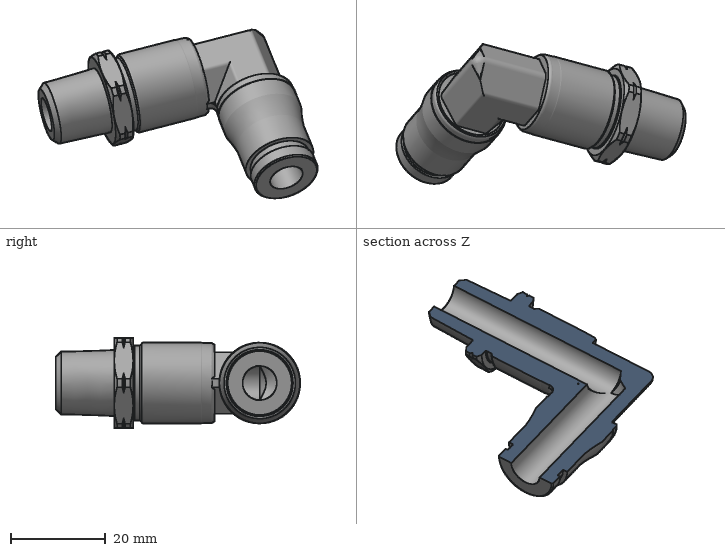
import cadquery as cq
import math


arm_half_height = 6.5
outer_ridge = 7.22
inner_ridge = 8.4
inner_land_half_height = 0.9
flat_half_width = 3.5
outer_ridge_fillet = 1.7
flat_edge_fillet = 0.9
arm_overlap = 1.5
corner_inset = 4.88

branch_start = 9.45
branch_face_radius = 8.07
branch_recess_radius = 7.6
branch_recess_depth = 0.1
branch_round_end = 10.4
branch_lip_radius = 8.43
branch_lip_end = 11.3
body_radius = 8.55
branch_body_end = 15.5
branch_waist_start = 20.5
branch_waist_radius = 7.52
branch_flare_mid_radius = 7.92
release_groove_start = 26.85
release_groove_radius = 6.48
release_ring_start = 28.7
release_ring_radius = 7.03
branch_end = 31.5
release_ring_chamfer = 0.3

sleeve_start = 9.52
sleeve_face_radius = 8.1
sleeve_chamfer_end = 9.9
sleeve_chamfer_radius = 8.33
sleeve_round_end = 10.4
sleeve_lip_radius = 8.45
sleeve_lip_end = 12.2
sleeve_lip_end_radius = 8.5
sleeve_body_start = 12.4
sleeve_body_end = 24.35
sleeve_round_out = 24.9
sleeve_round_out_radius = 8.25
neck_start = 25.25
neck_radius = 7.92
neck_end = 26.35
neck_flare = 0.1
nut_start = 26.65
nut_end = 30.7
thread_radius = 7.0
thread_taper = 1 / 32
stem_end = 43.0
stem_chamfer_length = 1.15
stem_face_radius = 5.55

nut_across_flats = 19.0
nut_corner_radius = 10.5
nut_bevel_face_radius = 9.43
nut_groove_radius = 9.98
nut_sides = 6
nut_turn = 180 / nut_sides
nut_cone_angle = 30
nut_cone_slope = math.tan(math.radians(nut_cone_angle))

bore_radius = 3.6
drill_point_angle = 118.0
drill_point_length = bore_radius / math.tan(math.radians(drill_point_angle / 2))

inner_web_radius = 1.4
inner_web_overlap = 1.0


def turned(outline):
    """Revolve an outline drawn as (station, radius) about X."""
    return outline.close().revolve(360, (0, 0, 0), (1, 0, 0))


def along_stem(body):
    """Turn a body built along +X so that it lies along -Y."""
    return body.rotate((0, 0, 0), (1, -1, 0), 180)


def round_point(face_end, cylinder_end):
    """Middle of a convex rounding that runs tangent into a cylinder at cylinder_end."""
    bulge = math.sqrt(0.5)
    station = cylinder_end[0] + (face_end[0] - cylinder_end[0]) * bulge
    radius = face_end[1] + (cylinder_end[1] - face_end[1]) * bulge
    return (station, radius)


def make_arm():
    """One mitred elbow arm along +X, with its outer corner left open."""
    length = branch_start + arm_overlap
    arm = (
        cq.Workplane("YZ", origin=(-outer_ridge, 0, 0))
        .polyline([
            (outer_ridge, 0),
            (flat_half_width, arm_half_height),
            (-flat_half_width, arm_half_height),
            (-inner_ridge, inner_land_half_height),
            (-inner_ridge, -inner_land_half_height),
            (-flat_half_width, -arm_half_height),
            (flat_half_width, -arm_half_height),
        ])
        .close()
        .extrude(outer_ridge + length)
    )
    arm = arm.edges("|X and >Y").fillet(outer_ridge_fillet)
    for height in (arm_half_height, -arm_half_height):
        for side in (flat_half_width, -flat_half_width):
            corner = cq.selectors.NearestToPointSelector((0, side, height))
            arm = arm.edges(corner).fillet(flat_edge_fillet)
    return arm


def make_elbow():
    reach = 2 * branch_start
    mitre_side = (
        cq.Workplane("XY")
        .polyline([(-reach, reach), (reach, -reach), (reach, reach)])
        .close()
        .extrude(arm_half_height, both=True)
    )
    arm = make_arm()
    corner = (
        cq.Workplane("XY")
        .rect(reach, reach)
        .extrude(arm_half_height, both=True)
        .translate((-corner_inset - reach / 2, corner_inset + reach / 2, 0))
    )
    half = arm.intersect(mitre_side).cut(corner)
    return half.union(along_stem(half)).union(make_round_corner())


def make_round_corner():
    """Double cone that carries the rounded outer ridge around the bend."""
    ridge = outer_ridge - corner_inset
    slope = arm_half_height / (outer_ridge - flat_half_width)
    apex = ridge * slope
    cone = (
        cq.Workplane("XZ")
        .polyline([(0, -apex), (ridge, 0), (0, apex)])
        .close()
        .revolve(360, (0, 0, 0), (0, 1, 0))
        .edges(cq.selectors.RadiusNthSelector(-1))
        .fillet(outer_ridge_fillet)
    )
    return cone.translate((-corner_inset, corner_inset, 0))


def make_inner_web():
    """Small concave web in the crook of the bend, between the collar and the sleeve."""
    far = inner_ridge + inner_web_radius
    start = inner_ridge - inner_web_overlap
    return (
        cq.Workplane("XY")
        .moveTo(start, -start)
        .lineTo(far, -start)
        .lineTo(far, -inner_ridge)
        .radiusArc((inner_ridge, -far), -inner_web_radius)
        .lineTo(start, -far)
        .close()
        .extrude(inner_land_half_height, both=True)
    )


def make_branch():
    face_corner = (branch_start, branch_face_radius)
    lip_corner = (branch_round_end, branch_lip_radius)
    recess_floor = branch_start + branch_recess_depth
    return turned(
        cq.Workplane("XY")
        .moveTo(recess_floor, 0)
        .lineTo(recess_floor, branch_recess_radius)
        .lineTo(branch_start, branch_recess_radius)
        .lineTo(*face_corner)
        .threePointArc(round_point(face_corner, lip_corner), lip_corner)
        .lineTo(branch_lip_end, branch_lip_radius)
        .lineTo(branch_lip_end, body_radius)
        .lineTo(branch_body_end, body_radius)
        .threePointArc(
            ((branch_body_end + branch_waist_start) / 2, branch_flare_mid_radius),
            (branch_waist_start, branch_waist_radius),
        )
        .lineTo(release_groove_start, branch_waist_radius)
        .lineTo(release_groove_start, release_groove_radius)
        .lineTo(release_ring_start, release_groove_radius)
        .lineTo(release_ring_start, release_ring_radius)
        .lineTo(branch_end - release_ring_chamfer, release_ring_radius)
        .lineTo(branch_end, release_ring_radius - release_ring_chamfer)
        .lineTo(branch_end, 0)
    )


def make_sleeve():
    chamfer_corner = (sleeve_chamfer_end, sleeve_chamfer_radius)
    lip_corner = (sleeve_round_end, sleeve_lip_radius)
    body_corner = (sleeve_body_end, body_radius)
    round_out = (sleeve_round_out, sleeve_round_out_radius)
    return turned(
        cq.Workplane("XY")
        .moveTo(sleeve_start, 0)
        .lineTo(sleeve_start, sleeve_face_radius)
        .lineTo(*chamfer_corner)
        .threePointArc(round_point(chamfer_corner, lip_corner), lip_corner)
        .lineTo(sleeve_lip_end, sleeve_lip_end_radius)
        .lineTo(sleeve_body_start, body_radius)
        .lineTo(*body_corner)
        .threePointArc(round_point(round_out, body_corner), round_out)
        .lineTo(neck_start, neck_radius)
        .lineTo(neck_end, neck_radius)
        .lineTo(nut_start, neck_radius + neck_flare)
        .lineTo(nut_start, 0)
    )


def make_nut():
    middle = (nut_start + nut_end) / 2
    bevel_length = (nut_corner_radius - nut_bevel_face_radius) * nut_cone_slope
    groove_half_width = (nut_corner_radius - nut_groove_radius) * nut_cone_slope
    blank = turned(
        cq.Workplane("XY")
        .moveTo(nut_start, 0)
        .lineTo(nut_start, nut_bevel_face_radius)
        .lineTo(nut_start + bevel_length, nut_corner_radius)
        .lineTo(middle - groove_half_width, nut_corner_radius)
        .lineTo(middle, nut_groove_radius)
        .lineTo(middle + groove_half_width, nut_corner_radius)
        .lineTo(nut_end - bevel_length, nut_corner_radius)
        .lineTo(nut_end, nut_bevel_face_radius)
        .lineTo(nut_end, 0)
    )
    hexagon = (
        cq.Workplane("YZ", origin=(nut_start, 0, 0))
        .polygon(nut_sides, nut_across_flats, circumscribed=True)
        .extrude(nut_end - nut_start)
        .rotate((0, 0, 0), (1, 0, 0), nut_turn)
    )
    return blank.intersect(hexagon)


def make_thread():
    def taper_radius(station):
        return thread_radius - (station - nut_end) * thread_taper

    chamfer_start = stem_end - stem_chamfer_length
    return turned(
        cq.Workplane("XY")
        .moveTo(nut_end, 0)
        .lineTo(nut_end, thread_radius)
        .lineTo(chamfer_start, taper_radius(chamfer_start))
        .lineTo(stem_end, stem_face_radius)
        .lineTo(stem_end, 0)
    )


def make_bore(depth):
    """Drilled hole entering from +X, its cone starting at the origin."""
    return turned(
        cq.Workplane("XY")
        .moveTo(-drill_point_length, 0)
        .lineTo(0, bore_radius)
        .lineTo(depth, bore_radius)
        .lineTo(depth, 0)
    )


stem = make_sleeve().union(make_nut()).union(make_thread())
body = make_elbow().union(make_inner_web()).union(make_branch()).union(along_stem(stem))
result = body.cut(make_bore(branch_end)).cut(along_stem(make_bore(stem_end)))